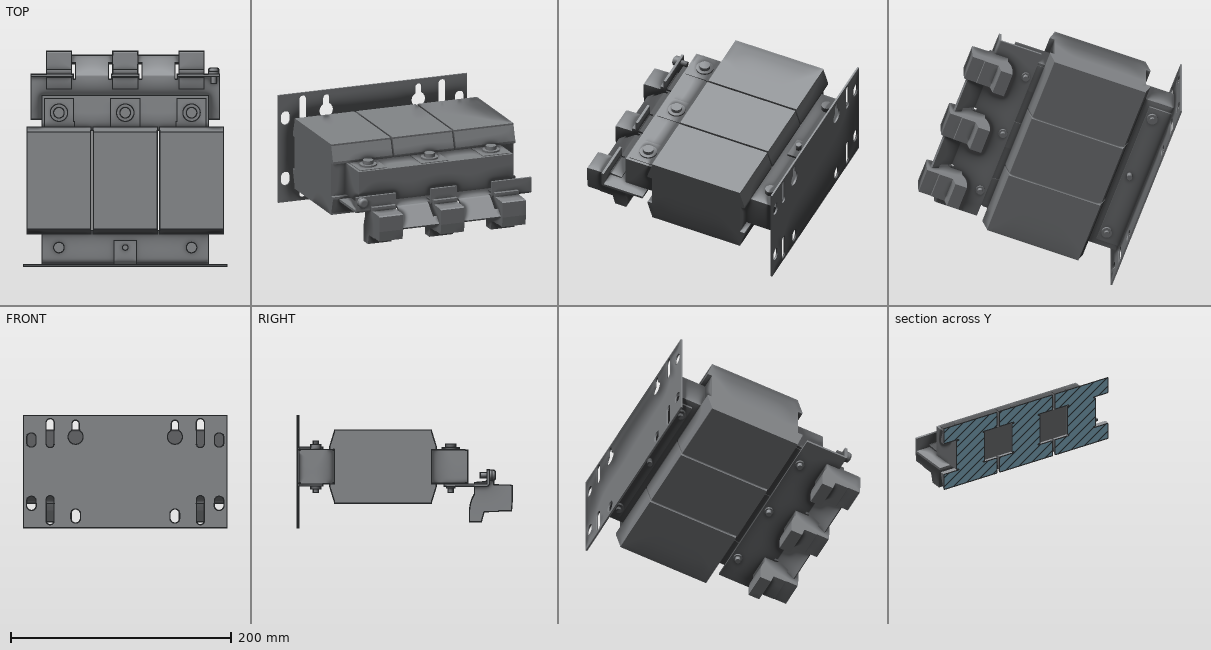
import cadquery as cq
import math


PLATE_WIDTH = 185.0
PLATE_HEIGHT = 102.0
PLATE_THICK = 1.6
LONG_SLOT = dict(x=68.2, z=34.9, width=7.2, length=26.3)
EDGE_SLOT = dict(x=85.2, z=28.7, width=8.8, length=12.8)
FOOT_SLOT = dict(x=45.1, z=-40.3, width=8.8, length=12.6)
KEYHOLE_X = 45.1
KEYHOLE_Z = 31.6
KEYHOLE_DIA = 13.6
KEYHOLE_NECK_WIDTH = 6.4
KEYHOLE_TOP = 46.6

POLE_PITCH = 60.2
POLES = (-POLE_PITCH, 0.0, POLE_PITCH)
LEG_WIDTH = 30.8
CORE_WIDTH = 2 * POLE_PITCH + LEG_WIDTH
CORE_MID_Z = 4.6
CORE_HEIGHT = 29.8
CORE_END_Y = 154.9
WINDOW_START_Y = 32.6
WINDOW_END_Y = 123.3
CORE_TOP = CORE_MID_Z + CORE_HEIGHT / 2
CORE_BOTTOM = CORE_MID_Z - CORE_HEIGHT / 2

SHEET_THICK = 0.7
SHEET_END_Y = 152.4
SHEET_HALF_WIDTH = 13.3
SHEET_OUTER_X = 73.2
SHEET_INNER_X = 47.1
SHEET_STEP_Y = 131.6
SHEET_STEP_WIDTH = 0.8
LOWER_SHEET_START_Y = 2.8
SEAT_TOP = CORE_TOP + SHEET_THICK
SEAT_BOTTOM = CORE_BOTTOM - SHEET_THICK

COIL_WIDTH = 58.2
COIL_START_Y = 33.8
COIL_END_Y = 122.1
COIL_HALF_HEIGHT = 33.4
CHEEK_REACH = 4.4
CHEEK_EDGE = 1.6
CHEEK_LIP = 2.2

STRAP_THICK = 2.2
STRAP_END_Y = 23.3
TOP_STRAP_WIDTH = 20.8
BOTTOM_STRAP_WIDTH = 140.0

LOWER_BOLT_Y = 17.0
UPPER_BOLT_Y = 139.4
BOLT_DIA = 5.0
BOLT_HEAD_DIA = 9.6
BOLT_BOTTOM = -19.0
NUT_DIA = 8.0
NUT_HEIGHT = 1.6
WASHER_DIA = 15.8
WASHER_THICK = 1.5
UPPER_HEAD_TOP = 25.1
LOWER_HEAD_TOP = 24.8
LOWER_HEAD_BOTTOM = -15.8
CENTRE_BOLT_TOP = 28.0

BRACKET_WIDTH = 171.4
BRACKET_THICK = 2.3
BRACKET_TOP = SEAT_BOTTOM
BRACKET_START_Y = 133.3
BRACKET_END_Y = 174.5
FLANGE_TOP = 1.8
BEND_RADIUS = 2.3
NOTCH_DEPTH_Y = 169.9
SIDE_FLANGE_INNER_X = 47.1
CENTRE_FLANGE_HALF_WIDTH = 12.7

TONGUE_MID_X = 30.2
TONGUE_WIDTH = 30.3
TONGUE_START_Y = 172.0
TONGUE_END_Y = 191.6
TONGUE_SLOPE = math.radians(40)
TONGUE_BEND_RADIUS = 3.4
TONGUE_BEND_END_Y = TONGUE_START_Y + TONGUE_BEND_RADIUS * math.sin(TONGUE_SLOPE)
TIE_START_Y = 185.0

TERMINAL_WIDTH = 23.0
TERMINAL_BACK_Y = 195.4
TERMINAL_BACK_TOP = -12.7
TERMINAL_BACK_BREAK_Z = -26.5
TERMINAL_BACK_TAPER = 0.7
TERMINAL_EDGE_Y = 193.2
TERMINAL_EDGE_TOP = -12.1
TERMINAL_STEP_Y = 178.5
TERMINAL_STEP_FOOT = -11.8
TERMINAL_TOP = -8.2
CLAMP_START_Y = 172.0
CLAMP_START_DROP = 0.7
CLAMP_END_Y = 160.9
CLAMP_END_TOP = -9.8
ENTRY_TOP = -20.4
ENTRY_MID = (158.2, -25.9)
ENTRY_END = (156.8, -31.9)
SKIRT_Y = 156.3
SKIRT_TOP = -35.7
SKIRT_BOTTOM = -45.7
SKIRT_BACK_Y = 167.3
SKIRT_ROOT_Y = 169.8
UNDERSIDE_START = -36.5
UNDERSIDE_END = -36.2
UNDERSIDE_STEP_Y = 182.6
UNDERSIDE_STEP = 0.6

SCREW_X = 80.3
SCREW_Z = -3.2
SCREW_DIA = 5.2
SCREW_TIP_Y = 166.1
SCREW_WASHER_DIA = 9.8
SCREW_WASHER_THICK = 2.4
SCREW_HEAD_DIA = 9.4
SCREW_HEAD_END_Y = 180.1
SCREW_HEAD_ROUND = 2.2


def block(x0, x1, y0, y1, z0, z1):
    """Box between two opposite corners."""
    return cq.Workplane("XY").box(x1 - x0, y1 - y0, z1 - z0, centered=False).translate((x0, y0, z0))


def post(x, y, diameter, z0, z1):
    """Upright cylinder."""
    return cq.Workplane("XY", origin=(x, y, z0)).circle(diameter / 2).extrude(z1 - z0)


def rod(diameter, y0, y1):
    """Cylinder along Y on the earth screw axis."""
    plane = cq.Workplane("XZ", origin=(SCREW_X, y0, SCREW_Z))
    return plane.circle(diameter / 2).extrude(y0 - y1)


def across(profile, x_mid, width):
    """Extrude a YZ profile symmetrically about x_mid."""
    return profile.extrude(width / 2, both=True).translate((x_mid, 0, 0))


def plate_cutter(sketch):
    """Extrude an outline drawn on XZ through the mounting plate."""
    return sketch.extrude(-PLATE_THICK)


def slot_cutter(x, z, width, length):
    return plate_cutter(cq.Workplane("XZ").center(x, z).slot2D(length, width, 90))


def keyhole_cutter(x):
    neck_length = KEYHOLE_TOP - KEYHOLE_Z + KEYHOLE_NECK_WIDTH / 2
    neck_z = KEYHOLE_TOP - neck_length / 2
    hole = plate_cutter(cq.Workplane("XZ").center(x, KEYHOLE_Z).circle(KEYHOLE_DIA / 2))
    return hole.union(slot_cutter(x, neck_z, KEYHOLE_NECK_WIDTH, neck_length))


def mounting_plate():
    half_width = PLATE_WIDTH / 2
    half_height = PLATE_HEIGHT / 2
    plate = block(-half_width, half_width, 0, PLATE_THICK, -half_height, half_height)
    for side in (-1, 1):
        for slot in (LONG_SLOT, EDGE_SLOT):
            for level in (-1, 1):
                cutter = slot_cutter(side * slot["x"], level * slot["z"], slot["width"], slot["length"])
                plate = plate.cut(cutter)
        foot_x = side * FOOT_SLOT["x"]
        plate = plate.cut(slot_cutter(foot_x, FOOT_SLOT["z"], FOOT_SLOT["width"], FOOT_SLOT["length"]))
        plate = plate.cut(keyhole_cutter(side * KEYHOLE_X))
    return plate


def core():
    half = CORE_WIDTH / 2
    body = block(-half, half, PLATE_THICK, WINDOW_START_Y, CORE_BOTTOM, CORE_TOP)
    body = body.union(block(-half, half, WINDOW_END_Y, CORE_END_Y, CORE_BOTTOM, CORE_TOP))
    for x in POLES:
        leg = block(x - LEG_WIDTH / 2, x + LEG_WIDTH / 2, WINDOW_START_Y, WINDOW_END_Y, CORE_BOTTOM, CORE_TOP)
        body = body.union(leg)
    return body


def insulation_sheets():
    """Thin sheets on both faces of the yokes.

    One sheet covers the lower yoke. The upper yoke has one per coil, and its outer ones widen
    inwards near the coil.
    """
    step_x = SHEET_INNER_X - SHEET_STEP_WIDTH
    outlines = [(-SHEET_HALF_WIDTH, SHEET_HALF_WIDTH, SHEET_END_Y)]
    for start, end, y in ((SHEET_INNER_X, SHEET_OUTER_X, SHEET_END_Y), (step_x, SHEET_INNER_X, SHEET_STEP_Y)):
        outlines.append((start, end, y))
        outlines.append((-end, -start, y))
    half = CORE_WIDTH / 2
    footprints = [(x0, x1, COIL_END_Y, y) for x0, x1, y in outlines]
    footprints.append((-half, half, LOWER_SHEET_START_Y, WINDOW_START_Y))
    sheets = cq.Workplane("XY")
    for footprint in footprints:
        sheets = sheets.union(block(*footprint, CORE_TOP, SEAT_TOP))
        sheets = sheets.union(block(*footprint, SEAT_BOTTOM, CORE_BOTTOM))
    return sheets


def coil(x):
    """Winding block with tapered cheeks that reach over both yokes."""
    half_length = (COIL_END_Y - COIL_START_Y) / 2
    half_seat = SEAT_TOP - CORE_MID_Z
    tip = half_length + CHEEK_REACH
    shoulder = COIL_HALF_HEIGHT - CHEEK_EDGE
    lip = half_seat + CHEEK_LIP
    quarter = [(half_length, half_seat), (tip, half_seat), (tip, lip), (half_length, shoulder),
               (half_length, COIL_HALF_HEIGHT)]
    upper = quarter + [(-y, z) for y, z in reversed(quarter)]
    lower = [(-y, -z) for y, z in upper]
    middle = ((COIL_START_Y + COIL_END_Y) / 2, CORE_MID_Z)
    return across(cq.Workplane("YZ").center(*middle).polyline(upper + lower).close(), x, COIL_WIDTH)


def straps():
    top_half = TOP_STRAP_WIDTH / 2
    bottom_half = BOTTOM_STRAP_WIDTH / 2
    bottom_z = SEAT_BOTTOM - STRAP_THICK
    top = block(-top_half, top_half, PLATE_THICK, STRAP_END_Y, SEAT_TOP, SEAT_TOP + STRAP_THICK)
    bottom = block(-bottom_half, bottom_half, PLATE_THICK, STRAP_END_Y, bottom_z, SEAT_BOTTOM)
    return top.union(bottom)


def upper_bolt(x):
    washer_top = SEAT_TOP + WASHER_THICK
    nut_top = BRACKET_TOP - BRACKET_THICK
    bolt = post(x, UPPER_BOLT_Y, WASHER_DIA, SEAT_TOP, washer_top)
    bolt = bolt.union(post(x, UPPER_BOLT_Y, BOLT_HEAD_DIA, washer_top, UPPER_HEAD_TOP))
    bolt = bolt.union(post(x, UPPER_BOLT_Y, NUT_DIA, nut_top - NUT_HEIGHT, nut_top))
    return bolt.union(post(x, UPPER_BOLT_Y, BOLT_DIA, BOLT_BOTTOM, CORE_TOP))


def lower_bolts():
    bolts = post(0, LOWER_BOLT_Y, BOLT_DIA, BOLT_BOTTOM, CENTRE_BOLT_TOP)
    for x in (-POLE_PITCH, POLE_PITCH):
        bolts = bolts.union(post(x, LOWER_BOLT_Y, BOLT_HEAD_DIA, LOWER_HEAD_BOTTOM, LOWER_HEAD_TOP))
        bolts = bolts.union(post(x, LOWER_BOLT_Y, BOLT_DIA, BOLT_BOTTOM, CORE_BOTTOM))
    return bolts


def slope_top(y):
    """Height of the sloping top face of the tongues at a given Y."""
    bend_end_z = BRACKET_TOP - TONGUE_BEND_RADIUS * (1 - math.cos(TONGUE_SLOPE))
    return bend_end_z - (y - TONGUE_BEND_END_Y) * math.tan(TONGUE_SLOPE)


def tongue_strip(x_mid, width, start_y):
    """Sloping strip from start_y on the top face down to the end of the tongues."""
    back = BRACKET_THICK * math.sin(TONGUE_SLOPE)
    down = BRACKET_THICK * math.cos(TONGUE_SLOPE)
    start_z = slope_top(start_y)
    end_z = slope_top(TONGUE_END_Y)
    outline = [(start_y, start_z), (TONGUE_END_Y, end_z), (TONGUE_END_Y - back, end_z - down),
               (start_y - back, start_z - down)]
    return across(cq.Workplane("YZ").polyline(outline).close(), x_mid, width)


def tongue_bend(x_mid):
    """Curved piece between the level bracket and a sloping tongue."""
    inner_radius = TONGUE_BEND_RADIUS - BRACKET_THICK

    def on_bend(radius, angle):
        y = TONGUE_START_Y + radius * math.sin(angle)
        return y, BRACKET_TOP - TONGUE_BEND_RADIUS + radius * math.cos(angle)

    half_angle = TONGUE_SLOPE / 2
    outline = (
        cq.Workplane("YZ")
        .moveTo(*on_bend(TONGUE_BEND_RADIUS, 0))
        .threePointArc(on_bend(TONGUE_BEND_RADIUS, half_angle), on_bend(TONGUE_BEND_RADIUS, TONGUE_SLOPE))
        .lineTo(*on_bend(inner_radius, TONGUE_SLOPE))
        .threePointArc(on_bend(inner_radius, half_angle), on_bend(inner_radius, 0))
        .close()
    )
    return across(outline, x_mid, TONGUE_WIDTH)


def tongues():
    """Two sloping tongues and the tie strip that joins them to the terminals."""
    body = tongue_strip(0, 2 * POLE_PITCH, TIE_START_Y)
    for x in (-TONGUE_MID_X, TONGUE_MID_X):
        body = body.union(tongue_strip(x, TONGUE_WIDTH, TONGUE_BEND_END_Y)).union(tongue_bend(x))
    return body


def bracket():
    """Angle bracket under the upper yoke, its flange split into three by the tongues."""
    bottom = BRACKET_TOP - BRACKET_THICK
    inner_y = BRACKET_END_Y - BRACKET_THICK
    angle = (
        cq.Workplane("YZ")
        .moveTo(BRACKET_START_Y, BRACKET_TOP)
        .lineTo(inner_y, BRACKET_TOP)
        .lineTo(inner_y, FLANGE_TOP)
        .lineTo(BRACKET_END_Y, FLANGE_TOP)
        .lineTo(BRACKET_END_Y, bottom + BEND_RADIUS)
        .radiusArc((BRACKET_END_Y - BEND_RADIUS, bottom), BEND_RADIUS)
        .lineTo(BRACKET_START_Y, bottom)
        .close()
    )
    body = across(angle, 0, BRACKET_WIDTH)
    tongue_half = TONGUE_WIDTH / 2
    for side in (-1, 1):
        gap_ends = sorted((side * CENTRE_FLANGE_HALF_WIDTH, side * SIDE_FLANGE_INNER_X))
        body = body.cut(block(*gap_ends, NOTCH_DEPTH_Y, BRACKET_END_Y, bottom, FLANGE_TOP))
        tongue_x = side * TONGUE_MID_X
        root = block(tongue_x - tongue_half, tongue_x + tongue_half, NOTCH_DEPTH_Y, TONGUE_START_Y,
                     bottom, BRACKET_TOP)
        body = body.union(root)
    return body.union(tongues())


def terminal(x):
    """Terminal block hanging on the bracket, with a curved wire entry side."""
    profile = (
        cq.Workplane("YZ")
        .moveTo(TERMINAL_BACK_Y, TERMINAL_BACK_TOP)
        .lineTo(TERMINAL_EDGE_Y, TERMINAL_EDGE_TOP)
        .lineTo(TERMINAL_STEP_Y, TERMINAL_STEP_FOOT)
        .lineTo(TERMINAL_STEP_Y, TERMINAL_TOP)
        .lineTo(CLAMP_START_Y, TERMINAL_TOP)
        .lineTo(CLAMP_START_Y - CLAMP_START_DROP, TERMINAL_TOP - CLAMP_START_DROP)
        .lineTo(CLAMP_END_Y, CLAMP_END_TOP)
        .lineTo(CLAMP_END_Y, ENTRY_TOP)
        .threePointArc(ENTRY_MID, ENTRY_END)
        .lineTo(SKIRT_Y, SKIRT_TOP)
        .lineTo(SKIRT_Y, SKIRT_BOTTOM)
        .lineTo(SKIRT_BACK_Y, SKIRT_BOTTOM)
        .lineTo(SKIRT_ROOT_Y, UNDERSIDE_START)
        .lineTo(UNDERSIDE_STEP_Y, UNDERSIDE_END)
        .lineTo(UNDERSIDE_STEP_Y + UNDERSIDE_STEP, UNDERSIDE_END + UNDERSIDE_STEP)
        .lineTo(TERMINAL_BACK_Y - TERMINAL_BACK_TAPER, UNDERSIDE_END + UNDERSIDE_STEP)
        .lineTo(TERMINAL_BACK_Y, TERMINAL_BACK_BREAK_Z)
        .close()
    )
    return across(profile, x, TERMINAL_WIDTH)


def earth_screw():
    washer_end = BRACKET_END_Y + SCREW_WASHER_THICK
    head = rod(SCREW_HEAD_DIA, washer_end, SCREW_HEAD_END_Y).faces(">Y").edges().fillet(SCREW_HEAD_ROUND)
    shank = rod(SCREW_DIA, SCREW_TIP_Y, washer_end)
    return shank.union(rod(SCREW_WASHER_DIA, BRACKET_END_Y, washer_end)).union(head)


result = mounting_plate().union(core()).union(insulation_sheets()).union(straps()).union(lower_bolts())
result = result.union(bracket()).union(earth_screw())
for pole_x in POLES:
    result = result.union(coil(pole_x)).union(upper_bolt(pole_x)).union(terminal(pole_x))